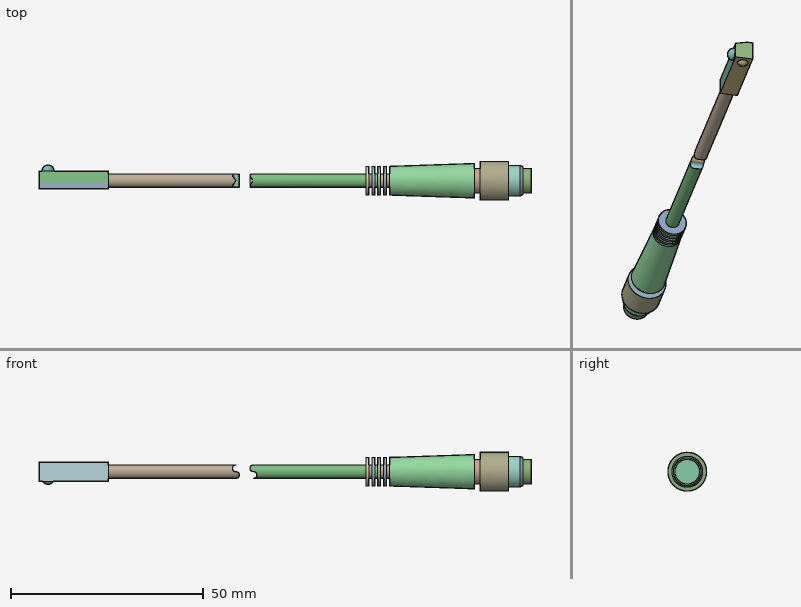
import cadquery as cq

TOTAL_LENGTH = 127.77
CABLE_DIAMETER = 3.5
CABLE_RADIUS = CABLE_DIAMETER / 2

SENSOR_LENGTH = 18.0
SENSOR_FRONT_Y = -2.1
SENSOR_BACK_Y = 2.5
SENSOR_BOTTOM_Z = -2.5
SENSOR_TOP_Z = 2.5
ROOF_CREASE_Y = -0.58
ROOF_BACK_Z = 1.73

DOME_X = 2.35
DOME_RADIUS = 1.6
BACK_DOME_HEIGHT = 1.6
BACK_DOME_Z = -0.25
BOTTOM_DOME_HEIGHT = 0.8
BOTTOM_DOME_Y = 0.0

SENSOR_CABLE_BREAK = 51.1
PLUG_CABLE_BREAK = 55.6
BREAK_DEPTH = 0.9

RIB_START = 84.8
RIB_COUNT = 4
RIB_WIDTH = 0.77
RIB_PITCH = 2 * RIB_WIDTH
RIB_DIAMETER = 7.5
GRIP_START = RIB_START + RIB_COUNT * RIB_PITCH
GRIP_END = 112.95
GRIP_END_DIAMETER = 9.0
NECK_DIAMETER = 6.4
NUT_START = 114.45
NUT_END = 121.85
NUT_DIAMETER = 10.1
COLLAR_DIAMETER = 8.0
COLLAR_CHAMFER_START = 124.85
COLLAR_END = 125.6
COLLAR_END_DIAMETER = 7.2
TIP_DIAMETER = 6.4


def cylinder(start, end, diameter):
    return cq.Workplane("YZ", origin=(start, 0, 0)).circle(diameter / 2).extrude(end - start)


def cone(start, end, start_diameter, end_diameter):
    profile = [(start, 0), (start, start_diameter / 2), (end, end_diameter / 2), (end, 0)]
    return cq.Workplane("XY").polyline(profile).close().revolve(360, (0, 0, 0), (1, 0, 0))


def break_cut_cable(flat_end, break_x):
    """Cable from a flat end to an S-shaped break made of two arcs."""
    side = (
        cq.Workplane("XZ", origin=(0, CABLE_RADIUS, 0))
        .moveTo(flat_end, CABLE_RADIUS)
        .lineTo(break_x, CABLE_RADIUS)
        .threePointArc((break_x - BREAK_DEPTH, CABLE_RADIUS / 2), (break_x, 0))
        .threePointArc((break_x + BREAK_DEPTH, -CABLE_RADIUS / 2), (break_x, -CABLE_RADIUS))
        .lineTo(flat_end, -CABLE_RADIUS)
        .close()
        .extrude(CABLE_DIAMETER)
    )
    round_start = min(flat_end, break_x) - BREAK_DEPTH
    round_end = max(flat_end, break_x) + BREAK_DEPTH
    return side.intersect(cylinder(round_start, round_end, CABLE_DIAMETER))


def sensor_housing():
    section = [
        (SENSOR_FRONT_Y, SENSOR_BOTTOM_Z),
        (SENSOR_BACK_Y, SENSOR_BOTTOM_Z),
        (SENSOR_BACK_Y, ROOF_BACK_Z),
        (ROOF_CREASE_Y, SENSOR_TOP_Z),
        (SENSOR_FRONT_Y, SENSOR_TOP_Z),
    ]
    return cq.Workplane("YZ").polyline(section).close().extrude(SENSOR_LENGTH)


def dome(y, z):
    return cq.Workplane("XY", origin=(DOME_X, y, z)).sphere(DOME_RADIUS)


def sensor_side():
    back_dome = dome(SENSOR_BACK_Y + BACK_DOME_HEIGHT - DOME_RADIUS, BACK_DOME_Z)
    bottom_dome = dome(BOTTOM_DOME_Y, SENSOR_BOTTOM_Z - BOTTOM_DOME_HEIGHT + DOME_RADIUS)
    cable = break_cut_cable(SENSOR_LENGTH, SENSOR_CABLE_BREAK)
    return sensor_housing().union(back_dome).union(bottom_dome).union(cable)


def plug_side():
    body = break_cut_cable(GRIP_START, PLUG_CABLE_BREAK)
    for i in range(RIB_COUNT):
        rib_start = RIB_START + i * RIB_PITCH
        body = body.union(cylinder(rib_start, rib_start + RIB_WIDTH, RIB_DIAMETER))
    body = body.union(cone(GRIP_START, GRIP_END, RIB_DIAMETER, GRIP_END_DIAMETER))
    body = body.union(cylinder(GRIP_END, NUT_START, NECK_DIAMETER))
    body = body.union(cylinder(NUT_START, NUT_END, NUT_DIAMETER))
    body = body.union(cylinder(NUT_END, COLLAR_CHAMFER_START, COLLAR_DIAMETER))
    body = body.union(cone(COLLAR_CHAMFER_START, COLLAR_END, COLLAR_DIAMETER, COLLAR_END_DIAMETER))
    tip = cylinder(COLLAR_END, TOTAL_LENGTH, TIP_DIAMETER)
    return body.union(tip)


sensor = sensor_side()
plug = plug_side()
result = cq.Compound.makeCompound([sensor.val(), plug.val()])